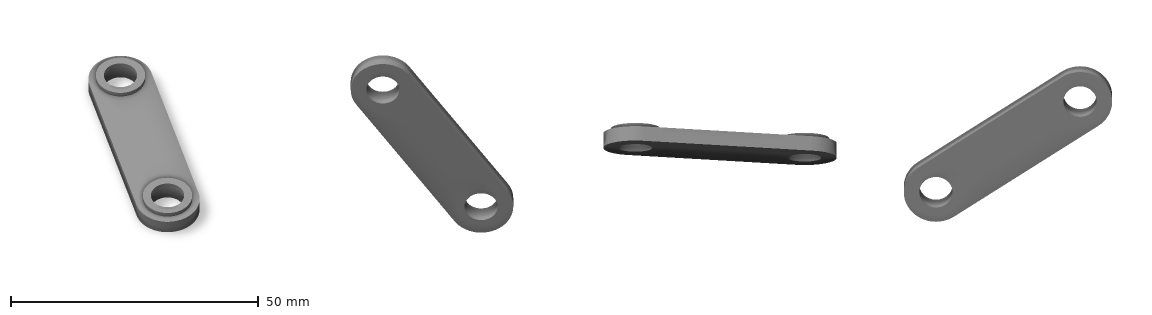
import cadquery as cq

length = 48.25
width = 13.0
plate_thickness = 3.0
total_height = 4.0
boss_diameter = 10.0
hole_diameter = 6.7

hole_spacing = length - width
hole_centers = [(-hole_spacing / 2, 0), (hole_spacing / 2, 0)]

plate = cq.Workplane("XY").slot2D(length, width).extrude(plate_thickness)

bosses = cq.Workplane("XY").pushPoints(hole_centers).circle(boss_diameter / 2).extrude(total_height)

bores = cq.Workplane("XY").pushPoints(hole_centers).circle(hole_diameter / 2).extrude(total_height)

result = plate.union(bosses).cut(bores)